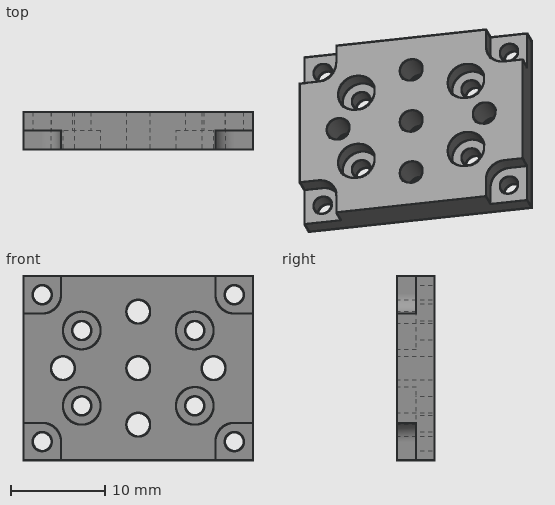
import cadquery as cq

width = 24.4
thickness = 4.0
height = 19.6

step_size = 4.0
step_depth = thickness / 2
step_radius = step_size / 2
mount_hole_diameter = 2.0
mount_hole_inset = step_size / 2

screw_spacing_x = 12.0
screw_spacing_z = 8.0
screw_hole_diameter = 2.0
counterbore_diameter = 4.0
counterbore_depth = 2.0

cross_hole_diameter = 2.5
cross_reach_x = 8.0
cross_reach_z = 6.0


def front_face(body):
    """Workplane on the front face, with local axes along +X and +Z."""
    return body.faces("<Y").workplane(centerOption="CenterOfBoundBox")


def make_plate():
    return cq.Workplane("XY").box(width, thickness, height)


def cut_corner_steps(body):
    """Recess each corner, rounding the inner corner of the recess."""
    cutter = (
        cq.Workplane("XY")
        .box(2 * step_size, step_depth, 2 * step_size)
        .edges("|Y")
        .fillet(step_radius)
    )
    cutter_y = (step_depth - thickness) / 2
    for side_x in (-1, 1):
        for side_z in (-1, 1):
            corner = (side_x * width / 2, cutter_y, side_z * height / 2)
            body = body.cut(cutter.translate(corner))
    return body


def drill_mount_holes(body):
    spacing_x = width - 2 * mount_hole_inset
    spacing_z = height - 2 * mount_hole_inset
    return front_face(body).rarray(spacing_x, spacing_z, 2, 2).hole(mount_hole_diameter)


def drill_screw_holes(body):
    return (
        front_face(body)
        .rarray(screw_spacing_x, screw_spacing_z, 2, 2)
        .cboreHole(screw_hole_diameter, counterbore_diameter, counterbore_depth)
    )


def drill_cross_holes(body):
    centers = [
        (0, 0),
        (cross_reach_x, 0),
        (-cross_reach_x, 0),
        (0, cross_reach_z),
        (0, -cross_reach_z),
    ]
    return front_face(body).pushPoints(centers).hole(cross_hole_diameter)


plate = make_plate()
plate = cut_corner_steps(plate)
plate = drill_mount_holes(plate)
plate = drill_screw_holes(plate)
result = drill_cross_holes(plate)